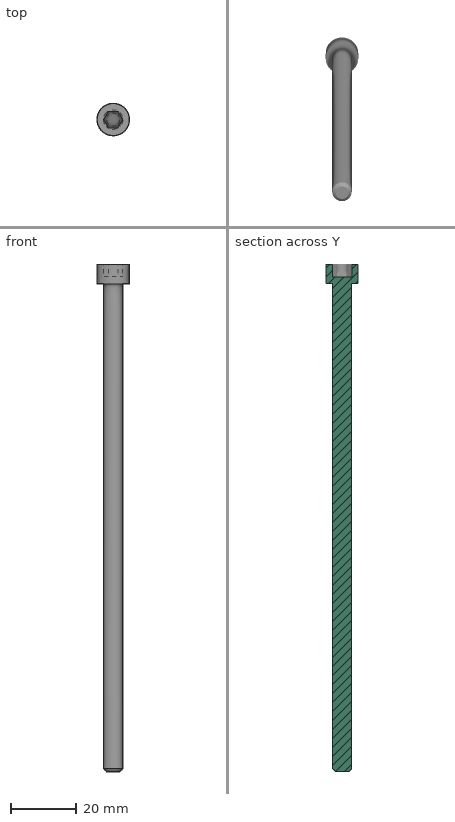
import cadquery as cq
import math

HEAD_DIAMETER = 10.0
HEAD_HEIGHT = 6.0
SHANK_DIAMETER = 6.0
SHANK_LENGTH = 150.0

THREAD_LENGTH = 24.0

POINT_CHAMFER = 1.0

SOCKET_ACROSS_FLATS = 5.06
SOCKET_DEPTH = 3.8


def screw_body():
    """Head, plain shank, threaded portion and chamfered point, revolved about Z."""
    head_radius = HEAD_DIAMETER / 2
    shank_radius = SHANK_DIAMETER / 2
    tip_z = -SHANK_LENGTH
    thread_start_z = tip_z + THREAD_LENGTH
    profile = [
        (0, tip_z),
        (shank_radius - POINT_CHAMFER, tip_z),
        (shank_radius, tip_z + POINT_CHAMFER),
        (shank_radius, thread_start_z),
        (shank_radius, 0),
        (head_radius, 0),
        (head_radius, HEAD_HEIGHT),
        (0, HEAD_HEIGHT),
    ]
    axis_start = (0, 0, 0)
    axis_end = (0, 1, 0)
    return cq.Workplane("XZ").polyline(profile).close().revolve(360, axis_start, axis_end, clean=False)


def hexagon_socket():
    """Hexagonal prism with two opposite corners on the X axis."""
    sides = 6
    across_corners = SOCKET_ACROSS_FLATS / math.cos(math.pi / sides)
    return (
        cq.Workplane("XY")
        .workplane(offset=HEAD_HEIGHT - SOCKET_DEPTH)
        .polygon(sides, across_corners)
        .extrude(SOCKET_DEPTH)
    )


result = screw_body().cut(hexagon_socket(), clean=False)